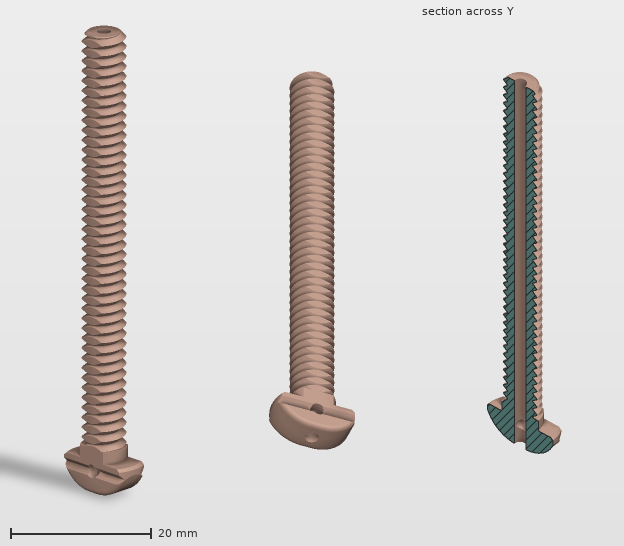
import cadquery as cq

TOTAL_HEIGHT = 69.35
THICKNESS = 5.0
BORE_DIAMETER = 2.0

HEAD_LENGTH = 12.2
HEAD_HEIGHT = 5.0
HEAD_ARC_RADIUS = 6.5
HEAD_ARC_CENTER_Z = 6.1
HEAD_CORNER_BLEND = 5.55
HEAD_EDGE_ROUND = 0.7
HEAD_TOP_CHAMFER = 0.4

GROOVE_CENTER_Z = 3.4
GROOVE_HALF_WIDTH = 0.75
GROOVE_DEPTH = 0.8

COLLAR_DIAMETER = 6.8
COLLAR_TOP_Z = 6.9

CORE_RADIUS = 2.35
CREST_RADIUS = 3.2
TIP_RADIUS = 2.4
THREAD_START_Z = 5.55
THREAD_LENGTH = 64.35
THREAD_TURNS = 43
PITCH = THREAD_LENGTH / THREAD_TURNS
RIDGE_EMBED = 0.035
RIDGE_ROOT_GAP = 0.04


def make_cylinder(radius, bottom_z, top_z):
    """Upright cylinder on the Z axis."""
    return cq.Workplane("XY", origin=(0, 0, bottom_z)).circle(radius).extrude(top_z - bottom_z)


def make_slab(height):
    """Block standing on Z = 0 whose long sides are the two flats of the part."""
    slab_length = 2 * HEAD_ARC_RADIUS
    return cq.Workplane("XY").rect(slab_length, THICKNESS).extrude(height)


def make_head():
    """Bar with a curved underside, rounded lower edges and round, chamfered ends."""
    arc_disc = (
        cq.Workplane("XZ", origin=(0, THICKNESS / 2, HEAD_ARC_CENTER_Z))
        .circle(HEAD_ARC_RADIUS)
        .extrude(THICKNESS)
    )
    bar = arc_disc.intersect(make_slab(HEAD_HEIGHT))
    bar = bar.edges("|Y and (not >Z)").fillet(HEAD_CORNER_BLEND)
    bar = bar.faces("|Y").edges("not(>Z)").fillet(HEAD_EDGE_ROUND)
    ends = make_cylinder(HEAD_LENGTH / 2, 0, HEAD_HEIGHT).faces(">Z").chamfer(HEAD_TOP_CHAMFER)
    return bar.intersect(ends)


def make_groove(side):
    """V-shaped cutter running along X on the face at Y = side * THICKNESS / 2."""
    face_y = side * THICKNESS / 2
    return (
        cq.Workplane("YZ", origin=(-HEAD_LENGTH / 2, 0, 0))
        .moveTo(face_y, GROOVE_CENTER_Z - GROOVE_HALF_WIDTH)
        .lineTo(face_y - side * GROOVE_DEPTH, GROOVE_CENTER_Z)
        .lineTo(face_y, GROOVE_CENTER_Z + GROOVE_HALF_WIDTH)
        .close()
        .extrude(HEAD_LENGTH)
    )


def make_cross_hole():
    """Cutter for the round hole along Y between the two grooves."""
    return (
        cq.Workplane("XZ", origin=(0, THICKNESS / 2, GROOVE_CENTER_Z))
        .circle(BORE_DIAMETER / 2)
        .extrude(THICKNESS)
    )


def make_body():
    """Everything but the thread ridge: head, collar and core, with grooves and bores."""
    shank_start_z = HEAD_HEIGHT / 2
    core = make_cylinder(CORE_RADIUS, shank_start_z, TOTAL_HEIGHT)
    collar = make_cylinder(COLLAR_DIAMETER / 2, shank_start_z, COLLAR_TOP_Z)
    body = core.union(collar.intersect(make_slab(TOTAL_HEIGHT))).union(make_head())
    for side in (-1, 1):
        body = body.cut(make_groove(side))
    bore = make_cylinder(BORE_DIAMETER / 2, 0, TOTAL_HEIGHT)
    return body.cut(bore).cut(make_cross_hole())


def make_ridge():
    """Triangular ridge swept along the thread helix, rooted just inside the core."""
    root_radius = CORE_RADIUS - RIDGE_EMBED
    half_base = (PITCH - RIDGE_ROOT_GAP) / 2
    one_turn = cq.Wire.makeHelix(PITCH, PITCH, root_radius)
    turns = [one_turn.translate(cq.Vector(0, 0, i * PITCH)) for i in range(THREAD_TURNS)]
    helix = cq.Wire.combine(turns)[0]
    ridge = (
        cq.Workplane("XZ")
        .moveTo(root_radius, -half_base)
        .lineTo(CREST_RADIUS, 0)
        .lineTo(root_radius, half_base)
        .close()
        .sweep(cq.Workplane(obj=helix), isFrenet=True)
    )
    return ridge.translate((0, 0, THREAD_START_Z))


def make_ridge_envelope():
    """Flat-sided, pointed cylinder that bounds the ridge from the collar to the tip."""
    envelope_radius = COLLAR_DIAMETER / 2
    cylinder = make_cylinder(envelope_radius, COLLAR_TOP_Z, TOTAL_HEIGHT)
    pointed = cylinder.faces(">Z").chamfer(envelope_radius - TIP_RADIUS)
    return pointed.intersect(make_slab(TOTAL_HEIGHT))


thread = make_ridge().intersect(make_ridge_envelope(), clean=False)
result = make_body().union(thread, clean=False)